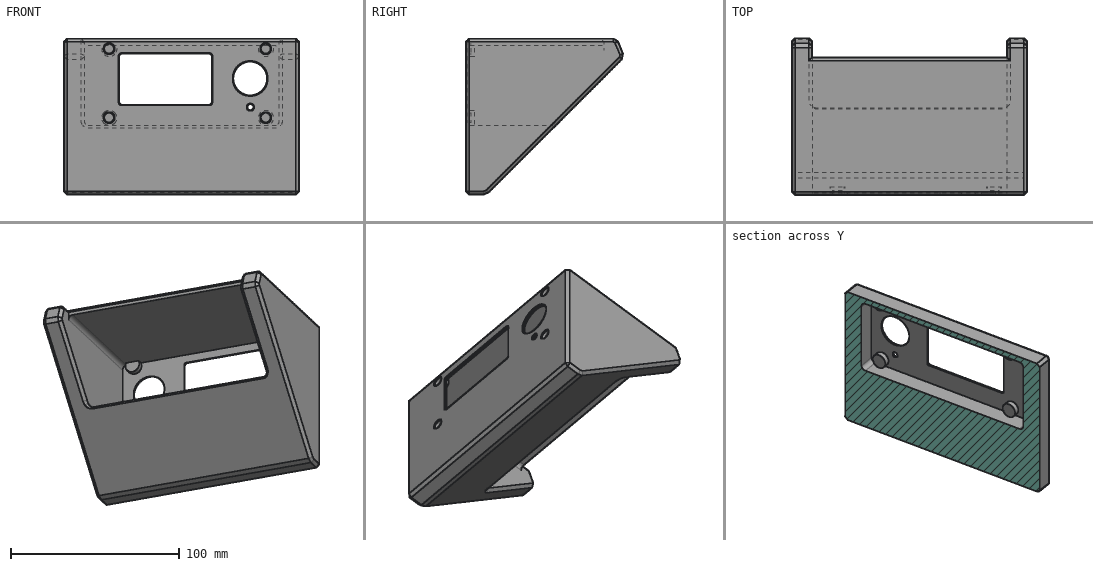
import cadquery as cq
import math

width = 139.8
depth = 93.4
height = 92.8
edge_chamfer = 2.0
back_slope_foot = 12.2
tip_angle = math.radians(22.5)

front_wall = 1.5
top_wall = 4.0
side_wall = 12.0
cavity_floor = 41.2
cavity_corner_radius = 2.7
top_wall_end = 81.9
cavity_width = width - 2 * side_wall
cavity_height = height - top_wall - cavity_floor

rim_chamfer = 0.49
window_width = 55.0
window_height = 30.2
window_corner_radius = 1.5
window_x = -9.5
window_z = 68.6
knob_hole_diameter = 20.0
knob_x = 40.8
knob_z = 69.0
button_hole_diameter = 3.5
button_x = 41.0
button_z = 52.0

screw_hole_diameter = 5.7
screw_hole_depth = 3.0
screw_spacing_x = 93.1
screw_centre_x = 3.5
screw_spacing_z = 41.0
screw_centre_z = 66.3
boss_diameter = 9.0
boss_length = 5.0

screw_points = [
    (screw_centre_x + side * screw_spacing_x / 2, screw_centre_z + level * screw_spacing_z / 2)
    for side in (-1, 1)
    for level in (-1, 1)
]


def front_plane(y):
    """Sketch plane parallel to the front face: local x is X, local y is Z, and its normal is -Y."""
    return cq.Workplane("XZ", origin=(0, y, 0))


def wedge():
    """Side profile swept across the width. The tip is placed so that, chamfered, it ends at depth."""
    tip_y = depth + edge_chamfer * math.sin(tip_angle)
    tip_z = tip_y - back_slope_foot
    top_y = tip_y - (height - tip_z) * math.tan(tip_angle)
    profile = [(0, 0), (back_slope_foot, 0), (tip_y, tip_z), (top_y, height), (0, height)]
    return cq.Workplane("YZ").polyline(profile).close().extrude(width / 2, both=True)


def cavity():
    """Cutter for the rounded pocket behind the front wall and the notch in the top wall."""
    reach = 2 * depth
    pocket = (
        front_plane(front_wall)
        .center(0, cavity_floor + cavity_height / 2)
        .rect(cavity_width, cavity_height)
        .extrude(-reach)
        .edges("|Y")
        .fillet(cavity_corner_radius)
    )
    notch = (
        cq.Workplane("XY")
        .box(cavity_width, reach, height, centered=(True, False, False))
        .translate((0, top_wall_end, cavity_floor + cavity_corner_radius))
    )
    return pocket.union(notch)


def chamfer_outer_edges(body):
    """Chamfer every edge of the flat outer faces; edges wholly inside the cavity stay sharp."""
    tip_normal = cq.Vector(0, math.cos(tip_angle), math.sin(tip_angle))
    slope_normal = cq.Vector(0, 1, -1)
    outer = body.faces(">Z or <Z or <Y or >X or <X")
    for normal in (tip_normal, slope_normal):
        outer = outer.add(body.faces(cq.selectors.ParallelDirSelector(normal)))
    return body.newObject(outer.edges().vals()).chamfer(edge_chamfer)


def round_opening(diameter, x, z, length):
    """Cutter for a round hole from the front face, with a chamfered rim."""
    radius = diameter / 2
    centre = front_plane(0).center(x, z)
    hole = centre.circle(radius).extrude(-length)
    rim = centre.circle(radius + rim_chamfer).extrude(-rim_chamfer, taper=45)
    return hole.union(rim)


def window_opening():
    """Cutter for the rounded rectangular window, with a chamfered rim."""
    hole = (
        front_plane(0)
        .center(window_x, window_z)
        .rect(window_width, window_height)
        .extrude(-2 * front_wall)
        .edges("|Y")
        .fillet(window_corner_radius)
    )
    rim = (
        front_plane(-rim_chamfer)
        .center(window_x, window_z)
        .rect(window_width + 2 * rim_chamfer, window_height + 2 * rim_chamfer)
        .extrude(-2 * rim_chamfer)
        .edges("|Y")
        .fillet(window_corner_radius + rim_chamfer)
        .faces(">Y")
        .chamfer(rim_chamfer)
    )
    return hole.union(rim)


def screw_bosses():
    """Round posts from inside the front wall, each left with a solid inner end by its blind hole."""
    return (
        front_plane(0)
        .workplane(offset=-front_wall / 2)
        .pushPoints(screw_points)
        .circle(boss_diameter / 2)
        .extrude(-(boss_length - front_wall / 2))
    )


result = chamfer_outer_edges(wedge().cut(cavity())).union(screw_bosses())
result = result.cut(window_opening())
result = result.cut(round_opening(knob_hole_diameter, knob_x, knob_z, 2 * front_wall))
result = result.cut(round_opening(button_hole_diameter, button_x, button_z, 2 * front_wall))
for screw_x, screw_z in screw_points:
    result = result.cut(round_opening(screw_hole_diameter, screw_x, screw_z, screw_hole_depth))